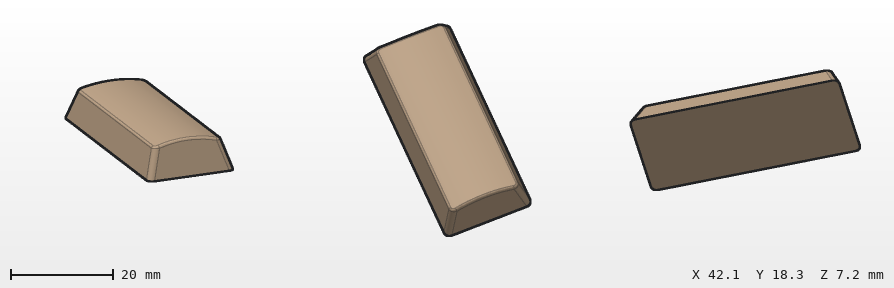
import cadquery as cq

length = 42.1
width = 18.3
height = 7.2

wall_draft = 17.6
corner_radius = 1.25
crown_radius = 25.25
rim_radius = 0.65
blank_margin = 1.25


def tapered_block():
    """Rectangular block with drafted walls and rounded corner edges."""
    block = cq.Workplane("XY").rect(length, width).extrude(height + blank_margin, taper=wall_draft)
    slanted_edges = "not(#Z or |X or |Y)"
    return block.edges(slanted_edges).fillet(corner_radius)


def crown_cylinder():
    """Cylinder along X whose highest line lies at the full height."""
    return (
        cq.Workplane("YZ")
        .center(0, height - crown_radius)
        .circle(crown_radius)
        .extrude(length / 2, both=True)
    )


crowned_block = tapered_block().intersect(crown_cylinder())

result = crowned_block.faces(">Z").edges().fillet(rim_radius)